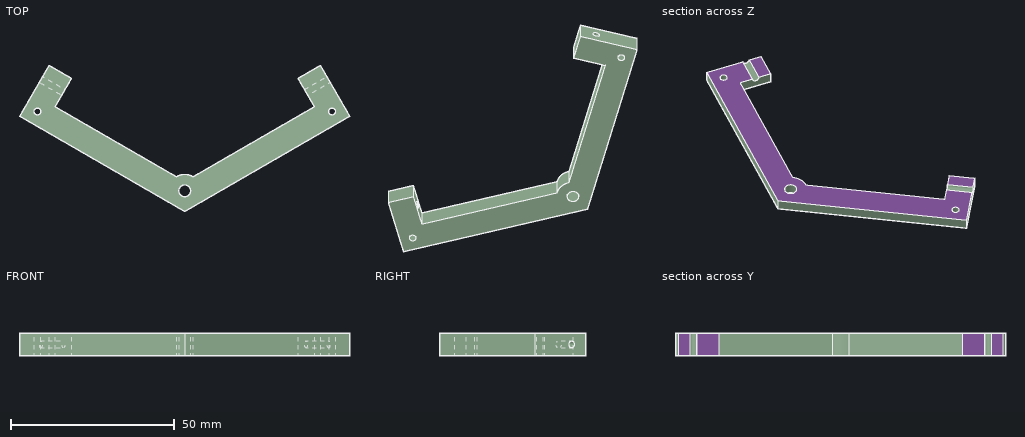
import cadquery as cq
import math

span = 100.8
depth = 44.6
thickness = 7.0

arm_angle = 30.0
bar_width = 8.0

pivot_offset = 6.3
pivot_diameter = 3.5
boss_radius = 5.0
end_hole_diameter = 2.0
end_hole_inset = bar_width / 2

prong_hole_diameter = 2.0

slope = math.radians(arm_angle)
arm_length = span / 2 / math.cos(slope)
prong_length = (depth - arm_length * math.sin(slope)) / math.cos(slope)
inner_corner = bar_width * math.tan(slope)


def arm_blank():
    """Arm lying along +X from the central corner, with its prong along +Y."""
    return (
        cq.Workplane("XY")
        .moveTo(0, 0)
        .lineTo(arm_length, 0)
        .lineTo(arm_length, prong_length)
        .lineTo(arm_length - bar_width, prong_length)
        .lineTo(arm_length - bar_width, bar_width)
        .lineTo(inner_corner, bar_width)
        .close()
        .extrude(thickness)
    )


def vertical_cylinder(x, y, diameter):
    return cq.Workplane("XY").center(x, y).circle(diameter / 2).extrude(thickness)


def prong_hole():
    """Bore along the arm direction, midway along the free part of the prong."""
    hole_y = (bar_width + prong_length) / 2
    return (
        cq.Workplane("YZ", origin=(arm_length - bar_width, 0, 0))
        .center(hole_y, thickness / 2)
        .circle(prong_hole_diameter / 2)
        .extrude(bar_width)
    )


def right_arm():
    end_hole = vertical_cylinder(arm_length - end_hole_inset, end_hole_inset, end_hole_diameter)
    arm = arm_blank().cut(end_hole).cut(prong_hole())
    return arm.rotate((0, 0, 0), (0, 0, 1), arm_angle)


arm = right_arm()
boss = vertical_cylinder(0, pivot_offset, 2 * boss_radius)
pivot_hole = vertical_cylinder(0, pivot_offset, pivot_diameter)
result = arm.union(arm.mirror("YZ")).union(boss).cut(pivot_hole)